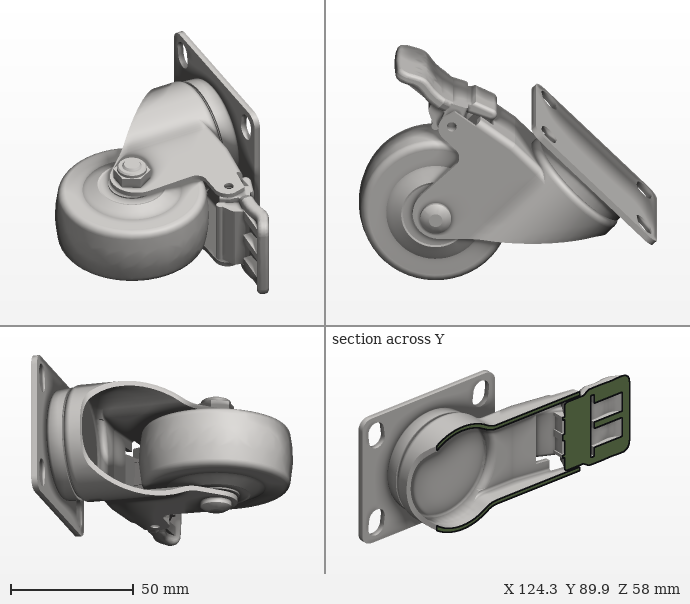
import cadquery as cq
import math


overall_height = 89.9

plate_length = 70.0
plate_width = 58.0
plate_thickness = 2.5
plate_corner_radius = 5.0
slot_width = 8.2
slot_length = 11.8
slot_tilt = 7.5
slot_center_x = 27.5
slot_center_z = 20.3
ring_bottom_radius = 23.1
ring_shoulder_radius = 22.7
ring_face_radius = 20.9
ring_shoulder_y = -4.5
ring_face_bend = (22.2, -3.1)
ring_bottom_y = -9.6
ring_neck_radius = 22.1

sheet = 2.0
bend_outer = 3.0
bend_inner = bend_outer - sheet
cap_y = -10.0
cap_radius = 24.0
web_y = -13.7
web_slope = 8.7
web_slope_x = 33.3
web_end_x = 50.6
leg_outer_z = 18.5
leg_inner_z = leg_outer_z - sheet
neck_bend_radius = 9.0
skirt_y = -17.5
skirt_fillet = 9.0
foot_radius = 10.9
foot_center_y = -56.3
leg_edge_top_x = 44.4
lug_bottom_y = -32.2
leg_corner_radius = 4.4
lug_radius = 5.7
lug_center = (56.7, -26.5)
lug_tip_x = 60.9
pivot = (57.3, -26.2)
pivot_radius = 2.0
step_half_width = 15.3
web_notch_start_x = 44.2
web_notch_half_width = 12.0

wheel_radius = 31.3
wheel_x = 34.0
wheel_y = wheel_radius - overall_height
tread_edge_radius = 30.3
tread_edge_z = 10.0
tread_half_width = 12.5
tread_side_radius = 27.0
tread_shoulder_radius = 29.5
tread_shoulder_z = 11.7
dome_base_radius = 20.1
dome_top_radius = 14.0
dome_top_z = 15.4
groove_radius = 13.3
groove_z = 15.2
hub_disc_radius = 9.6
hub_disc_z = 15.8
hub_boss_radius = 5.7

bolt_radius = 4.0
bolt_tip_z = 25.7
bolt_tip_chamfer = 0.7
nut_corner_diameter = 15.0
nut_top_z = 23.0
collar_radius = 6.1
collar_top_z = 24.9
collar_chamfer = 0.6
head_radius = 6.3
head_rim_z = 20.5
head_top_z = 22.4
head_flat_radius = 2.7
head_dome = (4.8, -21.6)

hub_half_width = 16.0
shoe_half_width = 13.4
nub_center = (60.8, -32.1)
nub_radius = 1.6
tab_half_width = 11.0
tab_edge_radius = 1.7
tab_rounding_end_x = 55.9
tab_back_x = 53.2
tab_rib_x = 52.7
tab_wall_top_y = -17.8
tab_back_top_y = -19.9
tab_wall_end_x = 57.2
tab_back_y = -23.2
tab_rib_bottom_y = -25.2
hub_edge_radius = 1.2
rib_half_width = 1.6
tab_rib_center_z = 8.8
tab_rib_half_width = 0.7
pedal_start_x = 63.4
pedal_half_width = 17.9
pedal_neck_half_width = 16.2
pedal_shoulder_x = 66.7
pedal_tip = (89.1, -26.6)
pedal_end_tilt = 23.0
pedal_corner_radius = 4.7
pedal_bow = 1.0
pedal_half_thickness = 2.7
pedal_edge_radius = 1.7
pedal_floor_offset = 0.7
pocket_start_x = 67.6
pocket_end_x = 83.9
pocket_half_width = 14.3
pedal_rib_start_x = 69.4
side_rib_inner_z = 10.2
rib_bottom_start_y = -26.0
rib_bottom_end_y = -27.2
pedal_wave = [(62.1, -21.9), (64.3, -22.2), (68.6, -23.0), (74.0, -23.0), (78.8, -22.5), (83.6, -24.5),
              (87.9, -26.7), (90.7, -28.2)]

FAR = 74.6


def side_prism(profile, z_low, z_high):
    """Extrude an outline drawn in the XY plane from z_low to z_high."""
    return profile.extrude(z_high - z_low).translate((0, 0, z_low))


def side_plane():
    return cq.Workplane("XY")


def plan_plane(y_top):
    """Plane facing -Y at height y_top: local x is X, local y is Z."""
    return cq.Workplane("XZ", origin=(0, y_top, 0))


def revolve_about_swivel(profile):
    return profile.revolve(360, (0, 0, 0), (0, 1, 0))


def make_plate():
    plate = plan_plane(0).rect(plate_length, plate_width).extrude(plate_thickness)
    plate = plate.edges("|Y").fillet(plate_corner_radius)
    for side_x in (-1, 1):
        for side_z in (-1, 1):
            slot = (
                plan_plane(0)
                .center(side_x * slot_center_x, side_z * slot_center_z)
                .slot2D(slot_length, slot_width, 90 - side_x * side_z * slot_tilt)
                .extrude(plate_thickness)
            )
            plate = plate.cut(slot)
    ring = revolve_about_swivel(
        side_plane()
        .moveTo(0, -plate_thickness)
        .lineTo(ring_face_radius, -plate_thickness)
        .threePointArc(ring_face_bend, (ring_shoulder_radius, ring_shoulder_y))
        .lineTo(ring_bottom_radius, ring_bottom_y)
        .lineTo(ring_neck_radius, ring_bottom_y)
        .lineTo(ring_neck_radius, cap_y)
        .lineTo(0, cap_y)
        .close()
    )
    return plate.union(ring)


def cap_volume(radius, y_top, edge_radius):
    cylinder = plan_plane(y_top).circle(radius).extrude(FAR)
    return cylinder.faces(">Y").edges().fillet(edge_radius)


def web_drop(x):
    """How far the sloped part of the web has fallen at x."""
    return (x - web_slope_x) * math.tan(math.radians(web_slope))


def channel_volume(inset, edge_radius):
    """Space filled by the legs and the web, shrunk inward by `inset`, its long top edges rounded."""
    half_width = leg_outer_z - inset
    bend_radius = neck_bend_radius + inset
    bend_center_z = leg_outer_z + neck_bend_radius
    center_distance = cap_radius + neck_bend_radius
    bend_center_x = math.sqrt(center_distance ** 2 - bend_center_z ** 2)
    bend_angle = math.atan2(bend_center_z, bend_center_x)

    def on_bend(angle):
        return (bend_center_x - bend_radius * math.cos(angle), bend_center_z - bend_radius * math.sin(angle))

    start = on_bend(bend_angle)
    middle = on_bend((bend_angle + math.pi / 2) / 2)
    plan = (
        plan_plane(0)
        .moveTo(*start)
        .threePointArc(middle, (bend_center_x, half_width))
        .lineTo(FAR, half_width)
        .lineTo(FAR, -half_width)
        .lineTo(bend_center_x, -half_width)
        .threePointArc((middle[0], -middle[1]), (start[0], -start[1]))
        .close()
        .extrude(2 * FAR)
    )
    top_y = web_y - inset
    end_y = top_y - web_drop(FAR)
    below_web = side_prism(
        side_plane()
        .polyline([(0, top_y), (web_slope_x, top_y), (FAR, end_y), (FAR, -2 * FAR), (0, -2 * FAR)])
        .close(),
        -FAR, FAR,
    )
    volume = plan.intersect(below_web)
    roof_zone = cq.selectors.BoxSelector((bend_center_x, end_y, -FAR), (FAR, top_y + sheet, FAR))
    roof_edges = volume.edges(roof_zone).edges("not |Z")
    return volume.newObject(roof_edges.vals()).fillet(edge_radius)


def leg_outline():
    """Side outline of the whole fork below its top."""
    diagonal = math.sqrt(0.5)
    tangent = (wheel_x - foot_radius * diagonal, foot_center_y - foot_radius * diagonal)
    skirt_x = tangent[0] - (skirt_y - tangent[1])
    half_turn = math.radians(45 / 2)
    trim = skirt_fillet * math.tan(half_turn)
    skirt_mid = (skirt_x - trim + skirt_fillet * math.sin(half_turn),
                 skirt_y - skirt_fillet * (1 - math.cos(half_turn)))
    leg_top_y = web_y - bend_outer
    corner = leg_corner_radius * (1 - diagonal)
    return (
        side_plane()
        .moveTo(-FAR, 0)
        .lineTo(-FAR, skirt_y)
        .lineTo(skirt_x - trim, skirt_y)
        .threePointArc(skirt_mid, (skirt_x + trim * diagonal, skirt_y - trim * diagonal))
        .lineTo(*tangent)
        .threePointArc((wheel_x, foot_center_y - foot_radius), (wheel_x + foot_radius, foot_center_y))
        .lineTo(leg_edge_top_x, lug_bottom_y - leg_corner_radius)
        .threePointArc((leg_edge_top_x + corner, lug_bottom_y - corner),
                       (leg_edge_top_x + leg_corner_radius, lug_bottom_y))
        .lineTo(lug_center[0], lug_bottom_y)
        .threePointArc((lug_center[0] + lug_radius * diagonal, lug_center[1] - lug_radius * diagonal),
                       (lug_center[0] + lug_radius, lug_center[1]))
        .lineTo(lug_tip_x, leg_top_y - web_drop(lug_tip_x))
        .lineTo(web_end_x, leg_top_y - web_drop(web_end_x))
        .lineTo(web_end_x, 0)
        .close()
    )


def make_step_bend():
    """Rounding cut under the web where the sheet steps up into the cap."""
    step_y = web_y - sheet
    cavity_radius = cap_radius - sheet
    bend_middle = bend_outer * (1 - math.sqrt(0.5))
    step_bend = revolve_about_swivel(
        side_plane()
        .moveTo(cavity_radius, step_y + bend_outer)
        .threePointArc((cavity_radius + bend_middle, step_y + bend_middle),
                       (cavity_radius + bend_outer, step_y))
        .lineTo(cavity_radius, step_y - sheet)
        .lineTo(cavity_radius - sheet, step_y)
        .close()
    )
    between_legs = plan_plane(0).center(cap_radius, 0).rect(cap_radius, 2 * step_half_width).extrude(FAR)
    return step_bend.intersect(between_legs)


def make_pivot_hole():
    return side_plane().center(*pivot).circle(pivot_radius).extrude(FAR, both=True)


def make_fork():
    fork = (
        cap_volume(cap_radius, cap_y, bend_outer)
        .union(channel_volume(0, bend_outer))
        .cut(cap_volume(cap_radius - sheet, cap_y - sheet, bend_inner))
        .cut(channel_volume(sheet, bend_inner))
        .cut(make_step_bend())
        .intersect(side_prism(leg_outline(), -FAR, FAR))
    )
    notch = (
        plan_plane(0)
        .center(web_notch_start_x + FAR / 2, 0)
        .rect(FAR, 2 * web_notch_half_width)
        .extrude(FAR)
    )
    axle_hole = side_plane().center(wheel_x, wheel_y).circle(bolt_radius).extrude(FAR, both=True)
    return fork.cut(notch).cut(axle_hole).cut(make_pivot_hole())


def revolve_about_axle(profile):
    """Revolve a radius / Z profile about the wheel axis."""
    return profile.revolve(360, (0, 0, 0), (0, 1, 0)).translate((wheel_x, wheel_y, 0))


def axle_profile_plane():
    """Local x is the radius, local y is Z."""
    return cq.Workplane(cq.Plane((0, 0, 0), (1, 0, 0), (0, -1, 0)))


def make_wheel():
    shoulder = (tread_shoulder_radius, tread_shoulder_z)
    profile = (
        axle_profile_plane()
        .moveTo(bolt_radius, -leg_inner_z)
        .lineTo(hub_boss_radius, -leg_inner_z)
        .lineTo(hub_boss_radius, -hub_disc_z)
        .lineTo(hub_disc_radius, -hub_disc_z)
        .lineTo(hub_disc_radius, -groove_z)
        .lineTo(groove_radius, -groove_z)
        .lineTo(dome_top_radius, -dome_top_z)
        .lineTo(dome_base_radius, -tread_half_width)
        .lineTo(tread_side_radius, -tread_half_width)
        .threePointArc((shoulder[0], -shoulder[1]), (tread_edge_radius, -tread_edge_z))
        .threePointArc((wheel_radius, 0), (tread_edge_radius, tread_edge_z))
        .threePointArc(shoulder, (tread_side_radius, tread_half_width))
        .lineTo(dome_base_radius, tread_half_width)
        .lineTo(dome_top_radius, dome_top_z)
        .lineTo(groove_radius, groove_z)
        .lineTo(hub_disc_radius, groove_z)
        .lineTo(hub_disc_radius, hub_disc_z)
        .lineTo(hub_boss_radius, hub_disc_z)
        .lineTo(hub_boss_radius, leg_inner_z)
        .lineTo(bolt_radius, leg_inner_z)
        .close()
    )
    return revolve_about_axle(profile)


def make_axle():
    bolt = revolve_about_axle(
        axle_profile_plane()
        .moveTo(0, -head_top_z)
        .lineTo(head_flat_radius, -head_top_z)
        .threePointArc(head_dome, (head_radius, -head_rim_z))
        .lineTo(head_radius, -leg_outer_z)
        .lineTo(bolt_radius, -leg_outer_z)
        .lineTo(bolt_radius, nut_top_z)
        .lineTo(collar_radius, nut_top_z)
        .lineTo(collar_radius, collar_top_z - collar_chamfer)
        .lineTo(collar_radius - collar_chamfer, collar_top_z)
        .lineTo(bolt_radius, collar_top_z)
        .lineTo(bolt_radius - bolt_tip_chamfer, bolt_tip_z)
        .lineTo(0, bolt_tip_z)
        .close()
    )
    hexagon = side_plane().center(wheel_x, wheel_y).polygon(6, nut_corner_diameter)
    nut = side_prism(hexagon, leg_outer_z, nut_top_z)
    return bolt.union(nut)


def pedal_band(top_offset, bottom_offset, half_width):
    """Slab following the pedal wave between two heights measured from its middle surface."""
    top = [(x, y + top_offset) for x, y in pedal_wave]
    bottom = [(x, y + bottom_offset) for x, y in reversed(pedal_wave)]
    return side_prism(
        side_plane().moveTo(*top[0]).spline(top[1:], includeCurrent=True)
        .lineTo(*bottom[0]).spline(bottom[1:], includeCurrent=True).close(),
        -half_width, half_width,
    )


def make_pedal():
    shoulder_slope = (pedal_half_width - pedal_neck_half_width) / (pedal_shoulder_x - pedal_start_x)
    flare = pedal_neck_half_width + shoulder_slope * FAR
    shoulders = (
        plan_plane(0)
        .polyline([
            (pedal_start_x, -pedal_neck_half_width), (pedal_start_x + FAR, -flare),
            (pedal_start_x + FAR, flare), (pedal_start_x, pedal_neck_half_width),
        ])
        .close()
        .extrude(FAR)
    )
    tilt = math.radians(pedal_end_tilt)
    end_plane = cq.Plane(
        (*pedal_tip, 0), (math.cos(tilt), -math.sin(tilt), 0), (-math.sin(tilt), -math.cos(tilt), 0),
    )
    outline = (
        cq.Workplane(end_plane)
        .moveTo(-FAR, -pedal_half_width)
        .lineTo(-pedal_bow, -pedal_half_width)
        .threePointArc((0, 0), (-pedal_bow, pedal_half_width))
        .lineTo(-FAR, pedal_half_width)
        .close()
        .extrude(FAR, both=True)
    )
    outline = outline.edges(cq.selectors.ParallelDirSelector(end_plane.zDir)).edges(">X")
    outline = outline.fillet(pedal_corner_radius).intersect(shoulders)
    pedal = pedal_band(pedal_half_thickness, -pedal_half_thickness, FAR).intersect(outline)
    pedal = pedal.edges("not |Y").edges("not <X").fillet(pedal_edge_radius)
    pocket_zone = (
        plan_plane(0)
        .center((pocket_start_x + pocket_end_x) / 2, 0)
        .rect(pocket_end_x - pocket_start_x, 2 * pocket_half_width)
        .extrude(FAR)
    )
    pocket = pedal_band(pedal_floor_offset, -FAR, pocket_half_width).intersect(pocket_zone)
    pedal = pedal.cut(pocket)
    rib_outline = [
        (pedal_rib_start_x, rib_bottom_start_y), (pocket_end_x, rib_bottom_end_y),
        (pocket_end_x, web_y), (pedal_rib_start_x, web_y),
    ]
    under_skin = pedal_band(pedal_floor_offset, -FAR, FAR)
    for low, high in (
        (-pocket_half_width, -side_rib_inner_z), (-rib_half_width, rib_half_width),
        (side_rib_inner_z, pocket_half_width),
    ):
        rib = side_prism(side_plane().polyline(rib_outline).close(), low, high)
        pedal = pedal.union(rib.intersect(under_skin))
    return pedal


def make_brake_hub():
    hub = side_prism(
        side_plane().polyline([
            (57.5, -16.7), (63.9, -19.9), (63.9, -24.6), (63.0, -24.6), (61.6, -28.1), (59.3, -31.6),
            (52.2, -27.1), (55.9, -20.3),
        ]).close(),
        -hub_half_width, hub_half_width,
    )
    for side in (-hub_half_width, hub_half_width):
        for x, y in ((54.1, -23.6), (60.4, -29.8)):
            hub = hub.edges(cq.selectors.NearestToPointSelector((x, y, side))).fillet(hub_edge_radius)
    shoe = side_prism(
        side_plane()
        .moveTo(55.9, -27.3)
        .lineTo(59.2, -31.6)
        .lineTo(62.1, -32.1)
        .lineTo(66.4, -30.1)
        .tangentArcPoint((67.9, -29.0), relative=False)
        .lineTo(69.4, -25.7)
        .lineTo(68.6, -24.2)
        .lineTo(57.2, -23.6)
        .close(),
        -shoe_half_width, shoe_half_width,
    )
    nub = side_prism(side_plane().center(*nub_center).circle(nub_radius), -shoe_half_width, shoe_half_width)
    return hub.union(shoe).union(nub)


def tab_wall(front_x, bottom_y, center_z, half_width):
    """Block hanging from the underside of the tab, its back buried in the brake hub."""
    outline = side_plane().polyline([
        (front_x, tab_wall_top_y), (tab_wall_end_x, tab_back_top_y),
        (tab_wall_end_x, bottom_y), (front_x, bottom_y),
    ]).close()
    return side_prism(outline, center_z - half_width, center_z + half_width)


def make_brake_tab():
    tab = side_prism(
        side_plane()
        .moveTo(58.4, -17.3)
        .lineTo(56.4, -15.8)
        .lineTo(55.8, -13.8)
        .lineTo(48.5, -11.2)
        .threePointArc((45.1, -13.4), (46.5, -15.5))
        .lineTo(56.2, -20.1)
        .lineTo(57.2, -20.4)
        .close(),
        -tab_half_width, tab_half_width,
    )
    outside_hub = cq.selectors.BoxSelector((0, -FAR, -FAR), (tab_rounding_end_x, 0, FAR))
    tab = tab.faces("|Z").edges(outside_hub).fillet(tab_edge_radius)
    side_rib_edge = tab_rib_center_z + tab_rib_half_width
    tab = tab.union(tab_wall(tab_back_x, tab_back_y, 0, side_rib_edge))
    for center_z, half_width in (
        (-tab_rib_center_z, tab_rib_half_width), (0, rib_half_width), (tab_rib_center_z, tab_rib_half_width),
    ):
        tab = tab.union(tab_wall(tab_rib_x, tab_rib_bottom_y, center_z, half_width))
    return tab


def make_brake():
    return make_brake_hub().union(make_brake_tab()).union(make_pedal()).cut(make_pivot_hole())


plate = make_plate()
fork = make_fork()
wheel = make_wheel()
axle = make_axle()
brake = make_brake()
result = cq.Compound.makeCompound([plate.val(), fork.val(), wheel.val(), axle.val(), brake.val()])